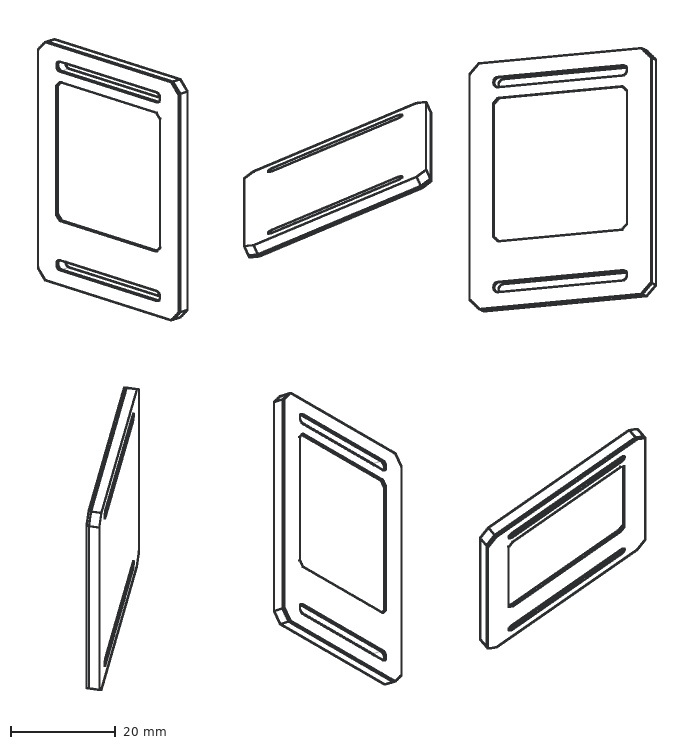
import cadquery as cq

plate_width = 38.0
plate_height = 48.0
corner_chamfer = 2.0

base_thickness = 2.0
cover_thickness = 0.5
cover_front_y = -(base_thickness + cover_thickness) / 2
base_front_y = cover_front_y + cover_thickness

slot_length = 28.0
slot_width = 2.0
top_slot_z = 20.0
bottom_slot_z = -20.03

window_size = 28.0
window_chamfer = 1.0
window_center_x = -0.02
window_center_z = 2.9


def chamfered_plate(width, thickness, height, chamfer):
    """Centred upright plate with its four corners cut off."""
    return cq.Workplane("XY").box(width, thickness, height).edges("|Y").chamfer(chamfer)


def slotted_plate(front_y, thickness):
    """Full-size plate with both strap slots, reaching from front_y toward +Y."""
    plate = chamfered_plate(plate_width, thickness, plate_height, corner_chamfer)
    slots = (
        cq.Workplane("XZ")
        .pushPoints([(0, top_slot_z), (0, bottom_slot_z)])
        .slot2D(slot_length, slot_width)
        .extrude(thickness, both=True)
    )
    return plate.cut(slots).translate((0, front_y + thickness / 2, 0))


def make_cover():
    """Thin front plate with the window cut through it."""
    window = chamfered_plate(window_size, cover_thickness, window_size, window_chamfer)
    window_center_y = cover_front_y + cover_thickness / 2
    window = window.translate((window_center_x, window_center_y, window_center_z))
    return slotted_plate(cover_front_y, cover_thickness).cut(window)


def make_base():
    """Thick back plate that closes the window from behind."""
    return slotted_plate(base_front_y, base_thickness)


cover = make_cover()
base = make_base()

result = cq.Compound.makeCompound([cover.val(), base.val()])